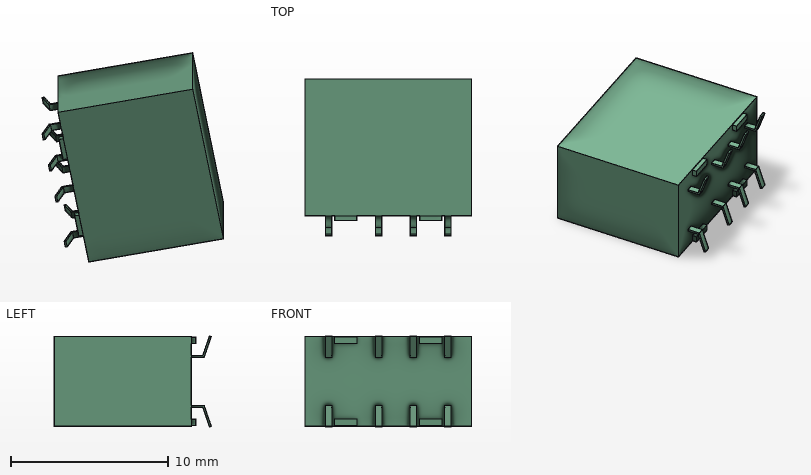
import cadquery as cq
import math

body_width = 10.6
overall_depth = 10.0
overall_height = 5.79

body_depth = 8.72
body_height = 5.72

pad_width = 1.42
pad_height = 0.41
pad_projection = 0.3
pad_edge_inset = 0.04
pad_offset = 2.7

terminal_width = 0.41
terminal_thickness = 0.13
terminal_spread = 7.6
terminal_pitch = 2.2
terminal_bend_reach = 0.82
terminal_lean = 18.9
terminal_root = 0.11

last_terminal_x = terminal_spread / 2
terminal_xs = [
    -last_terminal_x,
    last_terminal_x - 2 * terminal_pitch,
    last_terminal_x - terminal_pitch,
    last_terminal_x,
]


def make_pad(x):
    """Upper standoff pad, touching the terminal face at Y = 0."""
    center_z = body_height / 2 - pad_edge_inset - pad_height / 2
    pad = cq.Workplane("XY").box(pad_width, pad_projection, pad_height)
    return pad.translate((x, -pad_projection / 2, center_z))


def make_terminal(x):
    """Upper terminal: a straight leg that bends outward to a square-cut tip."""
    tip_y = -(overall_depth - body_depth)
    tip_z = overall_height / 2
    bend_y = -terminal_bend_reach

    lean = math.radians(terminal_lean)
    inner_z = tip_z - terminal_thickness * math.sin(lean) - (bend_y - tip_y) / math.tan(lean)
    tip_outer_z = tip_z - terminal_thickness * math.sin(lean)
    tip_inner_y = tip_y + terminal_thickness * math.cos(lean)

    mitre = terminal_thickness * math.tan((math.pi / 2 - lean) / 2)
    profile = [
        (terminal_root, inner_z),
        (bend_y, inner_z),
        (tip_y, tip_outer_z),
        (tip_inner_y, tip_z),
        (bend_y + mitre, inner_z + terminal_thickness),
        (terminal_root, inner_z + terminal_thickness),
    ]
    strip = cq.Workplane("YZ").polyline(profile).close().extrude(terminal_width / 2, both=True)
    return strip.translate((x, 0, 0))


def add_mirrored(part, feature):
    """Join a feature and its mirror image below the mid-height plane."""
    return part.union(feature).union(feature.mirror("XY"))


result = cq.Workplane("XY").box(body_width, body_depth, body_height).translate((0, body_depth / 2, 0))

for pad_x in (-pad_offset, pad_offset):
    result = add_mirrored(result, make_pad(pad_x))

for terminal_x in terminal_xs:
    result = add_mirrored(result, make_terminal(terminal_x))